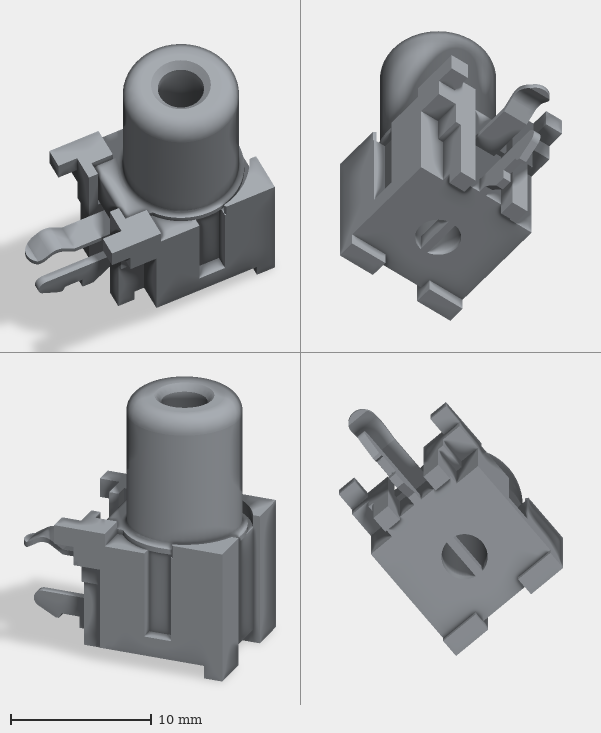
import cadquery as cq
import math


width = 10.0
half_width = width / 2
height = 10.0
back_y = 5.0
front_y = -6.5
underside_z = 0.98

rear_leg_front_y = 3.57
front_leg_back_y = -5.2
rear_notch_half_width = 2.0
rear_notch_y = 4.47

tab_front_y = -8.0
tab_bottom_z = 8.55
tab_inner_x = 3.55

relief_back_y = -4.45
upper_relief_top_z = 7.11
upper_relief_inner_x = 3.47
lower_relief_top_z = 5.15
lower_relief_inner_x = 3.02

post_inner_x = 1.67

seat_z = 9.02
seat_radius = 4.9
seat_step_outer_back_y = 1.14
seat_step_inner_x = 4.78
seat_step_front_y = -4.08

groove_half_width = 1.02
groove_bottom_z = 2.47
groove_depth = 0.98

top_z = 19.5
barrel_radius = 4.15
barrel_top_round = 1.25
flange_radius = 4.53
flange_thickness = 0.4
flange_fillet = flange_radius - barrel_radius
bore_radius = 1.65
bore_chamfer = 0.49

sheet = 0.4
plate_half_width = 2.7
plate_front_y = front_leg_back_y - sheet
plate_bottom_z = 6.2
plate_pocket_front_y = -5.78
pin_width = 2.04
pin_tip_radius = pin_width / 2
pin_end_y = -12.3
pin_ramp_start_y = -8.98
pin_peak_y = -10.4
pin_ramp_end_y = 2 * pin_peak_y - pin_ramp_start_y
pin_ramp_angle = math.radians(32)
pin_crest_half_length = 0.53

blade_thickness = 0.6
blade_back_y = 2.75
blade_top_z = 2.31
blade_nose_y = -11.5
blade_nose_radius = 0.63
blade_foot_z = -0.1
blade_foot_back_y = -7.11
blade_foot_slope_back_y = -5.88
blade_catch_z = 0.78
blade_barb_back_y = -9.37
blade_barb_z = 0.4
blade_barb_tip_back_y = -9.56
blade_barb_tip_front_y = -9.82
blade_nose_bottom_y = -11.2
blade_nose_bottom_z = 1.12


def box(x_min, x_max, y_min, y_max, z_min, z_max):
    """Axis-aligned box between the given limits."""
    size = (x_max - x_min, y_max - y_min, z_max - z_min)
    return cq.Workplane("XY").box(*size, centered=False).translate((x_min, y_min, z_min))


def centred_box(half_x, y_min, y_max, z_min, z_max):
    """Box symmetric about the YZ plane."""
    return box(-half_x, half_x, y_min, y_max, z_min, z_max)


def both_sides(solid):
    """The solid together with its mirror image across the YZ plane."""
    return solid.union(solid.mirror("YZ"))


def housing_block():
    block = centred_box(half_width, front_y, back_y, 0, height)
    tab = box(tab_inner_x, half_width, tab_front_y, front_y, tab_bottom_z, height)
    return block.union(both_sides(tab))


def bottom_cuts():
    between_legs = centred_box(half_width, front_leg_back_y, rear_leg_front_y, 0, underside_z)
    between_rear_legs = centred_box(rear_notch_half_width, rear_leg_front_y, back_y, 0, underside_z)
    rear_notch = centred_box(rear_notch_half_width, rear_notch_y, back_y, 0, height)
    return between_legs.union(between_rear_legs).union(rear_notch)


def front_cuts():
    post_slot = centred_box(post_inner_x, front_y, front_leg_back_y, 0, height)
    upper = box(upper_relief_inner_x, half_width, front_y, relief_back_y, 0, upper_relief_top_z)
    lower = box(lower_relief_inner_x, half_width, front_y, relief_back_y, 0, lower_relief_top_z)
    plate_pocket = centred_box(
        plate_half_width, plate_pocket_front_y, front_leg_back_y, plate_bottom_z, height
    )
    return post_slot.union(both_sides(upper.union(lower))).union(plate_pocket)


def seat_cuts():
    depth = height - seat_z
    round_seat = cq.Workplane("XY").workplane(offset=seat_z).circle(seat_radius).extrude(depth)
    half_step = (
        cq.Workplane("XY")
        .workplane(offset=seat_z)
        .polyline([
            (0, seat_step_front_y),
            (half_width, seat_step_front_y),
            (half_width, seat_step_outer_back_y),
            (seat_step_inner_x, groove_half_width),
            (0, groove_half_width),
        ])
        .close()
        .extrude(depth)
    )
    plate_bed = centred_box(plate_half_width, front_leg_back_y, 0, seat_z, height)
    return round_seat.union(both_sides(half_step)).union(plate_bed)


def side_grooves():
    groove = box(
        half_width - groove_depth, half_width,
        -groove_half_width, groove_half_width,
        groove_bottom_z, height,
    )
    return both_sides(groove)


def barrel():
    """Solid flanged sleeve with a rounded top, revolved about Z."""
    flange_top_z = seat_z + flange_thickness
    fillet_top_z = flange_top_z + flange_fillet
    round_centre_r = barrel_radius - barrel_top_round
    round_centre_z = top_z - barrel_top_round
    diagonal = math.sqrt(0.5)
    return (
        cq.Workplane("XZ")
        .moveTo(0, seat_z)
        .lineTo(flange_radius, seat_z)
        .lineTo(flange_radius, flange_top_z)
        .threePointArc(
            (flange_radius - flange_fillet * diagonal, fillet_top_z - flange_fillet * diagonal),
            (barrel_radius, fillet_top_z),
        )
        .lineTo(barrel_radius, round_centre_z)
        .threePointArc(
            (round_centre_r + barrel_top_round * diagonal, round_centre_z + barrel_top_round * diagonal),
            (round_centre_r, top_z),
        )
        .lineTo(0, top_z)
        .close()
        .revolve(360, (0, 0, 0), (0, 1, 0))
    )


def bore():
    """Through hole with a chamfered mouth at the top."""
    return (
        cq.Workplane("XZ")
        .polyline([
            (0, 0),
            (bore_radius, 0),
            (bore_radius, top_z - bore_chamfer),
            (bore_radius + bore_chamfer, top_z),
            (0, top_z),
        ])
        .close()
        .revolve(360, (0, 0, 0), (0, 1, 0))
    )


def contact_plate():
    """Sheet lying on the seat and bent down over the front of the housing."""
    plate_top_z = seat_z + sheet
    outer = centred_box(plate_half_width, plate_front_y, -bore_radius, plate_bottom_z, plate_top_z)
    outer = outer.edges("|X and >Z and <Y").fillet(sheet)
    inner = centred_box(plate_half_width, front_leg_back_y, 0, plate_bottom_z, seat_z)
    return outer.cut(inner)


def contact_pin():
    """Flat strip with a raised crest and a fully rounded tip."""
    slope = math.tan(pin_ramp_angle)
    ramp_rise = (pin_ramp_start_y - pin_peak_y - pin_crest_half_length) * slope
    crest_radius = pin_crest_half_length / math.sin(pin_ramp_angle)
    crest_rise = ramp_rise + crest_radius * (1 - math.cos(pin_ramp_angle))
    crest_start_y = pin_peak_y + pin_crest_half_length
    crest_end_y = pin_peak_y - pin_crest_half_length
    top = plate_bottom_z
    bottom = plate_bottom_z - sheet
    strip = (
        cq.Workplane("YZ")
        .moveTo(front_leg_back_y, top)
        .lineTo(pin_ramp_start_y, top)
        .lineTo(crest_start_y, top + ramp_rise)
        .threePointArc((pin_peak_y, top + crest_rise), (crest_end_y, top + ramp_rise))
        .lineTo(pin_ramp_end_y, top)
        .lineTo(pin_end_y, top)
        .lineTo(pin_end_y, bottom)
        .lineTo(pin_ramp_end_y, bottom)
        .lineTo(crest_end_y, bottom + ramp_rise)
        .threePointArc((pin_peak_y, bottom + crest_rise), (crest_start_y, bottom + ramp_rise))
        .lineTo(pin_ramp_start_y, bottom)
        .lineTo(front_leg_back_y, bottom)
        .close()
        .extrude(pin_tip_radius, both=True)
    )
    outline = (
        cq.Workplane("XY")
        .moveTo(-pin_tip_radius, front_leg_back_y)
        .lineTo(-pin_tip_radius, pin_end_y + pin_tip_radius)
        .threePointArc((0, pin_end_y), (pin_tip_radius, pin_end_y + pin_tip_radius))
        .lineTo(pin_tip_radius, front_leg_back_y)
        .close()
        .extrude(height)
    )
    return strip.intersect(outline)


def contact_blade():
    """Lower contact cut from flat sheet, with a stop foot and a barbed, rounded nose."""
    nose_top_y = blade_nose_y + blade_nose_radius
    nose_z = blade_top_z - blade_nose_radius
    return (
        cq.Workplane("YZ")
        .moveTo(blade_back_y, underside_z)
        .lineTo(blade_foot_slope_back_y, underside_z)
        .lineTo(blade_foot_back_y, blade_foot_z)
        .lineTo(tab_front_y, blade_foot_z)
        .lineTo(tab_front_y, blade_catch_z)
        .lineTo(blade_barb_back_y, blade_catch_z)
        .lineTo(blade_barb_tip_back_y, blade_barb_z)
        .lineTo(blade_barb_tip_front_y, blade_barb_z)
        .lineTo(blade_nose_bottom_y, blade_nose_bottom_z)
        .threePointArc((blade_nose_y, nose_z), (nose_top_y, blade_top_z))
        .lineTo(blade_back_y, blade_top_z)
        .close()
        .extrude(blade_thickness / 2, both=True)
    )


housing = housing_block()
for cut in (bottom_cuts(), front_cuts(), seat_cuts(), side_grooves()):
    housing = housing.cut(cut)

result = (
    housing.union(contact_plate())
    .union(barrel())
    .cut(bore())
    .union(contact_pin())
    .union(contact_blade())
    .clean()
)